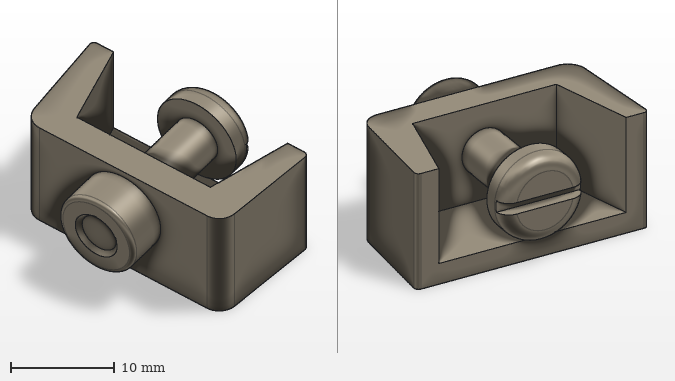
import cadquery as cq
import math

body_height = 12.7
body_depth = 12.6
body_width = 25.9
side_taper = math.radians(5)
front_corner_radius = 2.0
back_corner_radius = 0.5
corner_overhang = back_corner_radius * (math.tan(math.pi / 4 + side_taper / 2) - 1)
back_half_width = body_width / 2 + corner_overhang
front_half_width = back_half_width - body_depth * math.tan(side_taper)

front_wall_thickness = 3.32
pocket_base_thickness = 2.28
pocket_front_half_width = 8.03
pocket_mouth_half_width = 10.47

axis_height = pocket_base_thickness / 2

boss_diameter = 9.02
boss_length = 4.4
boss_edge_radius = 0.5

recess_mouth_diameter = 5.03
recess_floor_diameter = 4.1
recess_depth = 0.5

shank_diameter = 5.03
head_diameter = 9.48
head_height = 3.03
head_edge_radius = 1.55
head_back = 15.0
slot_width = 1.25
slot_depth = 1.3


def cylinder_along_y(diameter, start, length):
    """Cylinder on the screw axis, from Y = start towards +Y."""
    return cq.Workplane(
        cq.Plane(origin=(0, start, axis_height), xDir=(1, 0, 0), normal=(0, 1, 0))
    ).circle(diameter / 2).extrude(length)


def trapezoid_prism(front, back, front_half, back_half):
    """Full-height prism, symmetric about X = 0, between two Y positions."""
    return (
        cq.Workplane("XY")
        .polyline([(-front_half, front), (front_half, front), (back_half, back), (-back_half, back)])
        .close()
        .extrude(body_height / 2, both=True)
    )


def make_body():
    block = trapezoid_prism(0, body_depth, front_half_width, back_half_width)
    block = block.edges("|Z and <Y").fillet(front_corner_radius)
    block = block.edges("|Z and >Y").fillet(back_corner_radius)
    pocket = trapezoid_prism(
        front_wall_thickness, body_depth, pocket_front_half_width, pocket_mouth_half_width
    )
    return block.cut(pocket.translate((0, 0, pocket_base_thickness)))


def make_boss():
    boss = cylinder_along_y(boss_diameter, -boss_length, boss_length)
    boss = boss.faces("<Y").edges().fillet(boss_edge_radius)
    recess = cq.Workplane(
        cq.Solid.makeCone(
            recess_mouth_diameter / 2,
            recess_floor_diameter / 2,
            recess_depth,
            pnt=cq.Vector(0, -boss_length, axis_height),
            dir=cq.Vector(0, 1, 0),
        )
    )
    return boss.cut(recess)


def make_screw():
    head_front = head_back - head_height
    shank = cylinder_along_y(shank_diameter, 0, head_front)
    head = cylinder_along_y(head_diameter, head_front, head_height)
    head = head.faces(">Y").edges().fillet(head_edge_radius)
    slot = cq.Workplane("XY").box(head_diameter, slot_depth, slot_width).translate(
        (0, head_back - slot_depth / 2, axis_height)
    )
    return shank.union(head.cut(slot))


result = make_body().union(make_boss()).union(make_screw())